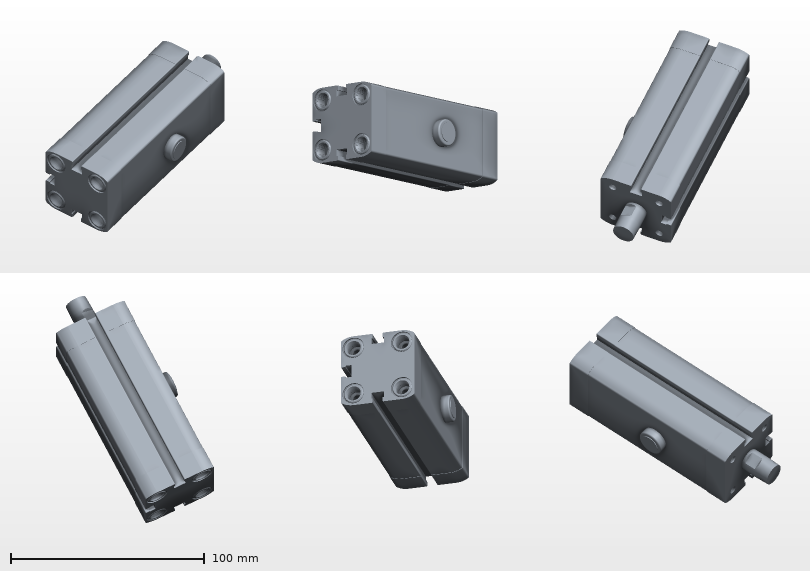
import cadquery as cq
import math

total_length = 118.9
housing_length = 102.5

cap_width = 39.5
cap_length = 12.0
tube_inset = 0.2
bolt_spacing = 26.0
shoulder_radius = 11.4
corner_fillet = 1.2

slot_mouth_width = 5.4
slot_inner_width = 6.8
slot_lip_depth = 2.5
slot_depth = 5.7
slot_edge_radius = 0.5

seat_diameter = 11.7
seat_groove_depth = 0.8
head_diameter = 10.5
head_chamfer = 0.5
thread_major_diameter = 8.0
thread_minor_diameter = 7.5
thread_pitch = 0.8
thread_turns = 8
bolt_hole_diameter = 4.2
bolt_hole_rim_diameter = 4.9

rod_diameter = 12.0
rod_tip_diameter = 11.5
rod_tip_length = 7.3
rod_seat_depth = cap_length
flat_distance = 5.0
flat_tilt = 25.0
flat_length = 6.1
flat_gap = 1.8
flat_inner_ramp = 0.7
flat_outer_ramp = 1.2

fitting_diameter = 14.0
fitting_projection = 4.8
fitting_seat_depth = 1.2
fitting_edge_radius = 0.8
fitting_button_diameter = 10.1
fitting_button_height = 0.4
fitting_y = 56.5

half_width = cap_width / 2
bolt_offset = bolt_spacing / 2
rod_radius = rod_diameter / 2
tube_face_x = half_width - tube_inset
axis_start = (0, 0, 0)
axis_end = (0, 1, 0)


def turned_about_y(points):
    """Solid of revolution about the Y axis from (radius, y) points."""
    return cq.Workplane("XY").polyline(points).close().revolve(360, axis_start, axis_end)


def rounded_bar(half, radius, start, length):
    """Square bar along Y whose top and bottom curve down towards the sides."""
    run = half - bolt_offset
    half_angle = math.asin(run / radius) / 2
    side_z = half - radius + math.sqrt(radius**2 - run**2)
    mid_x = bolt_offset + radius * math.sin(half_angle)
    mid_z = half - radius + radius * math.cos(half_angle)
    return (
        cq.Workplane("XZ", origin=(0, start, 0))
        .moveTo(-bolt_offset, half)
        .lineTo(bolt_offset, half)
        .threePointArc((mid_x, mid_z), (half, side_z))
        .lineTo(half, -side_z)
        .threePointArc((mid_x, -mid_z), (bolt_offset, -half))
        .lineTo(-bolt_offset, -half)
        .threePointArc((-mid_x, -mid_z), (-half, -side_z))
        .lineTo(-half, side_z)
        .threePointArc((-mid_x, mid_z), (-bolt_offset, half))
        .close()
        .extrude(-length)
        .edges("(<X or >X) and |Y")
        .fillet(corner_fillet)
    )


def slot_cutter(half, start, length):
    """T-slot for the top face, with rounded edges at its mouth."""
    mouth = slot_mouth_width / 2
    inner = slot_inner_width / 2
    lip_z = half_width - slot_lip_depth
    floor_z = half_width - slot_depth
    edge_x = mouth + slot_edge_radius
    edge_z = half - slot_edge_radius
    return (
        cq.Workplane("XZ", origin=(0, start, 0))
        .moveTo(-edge_x, half)
        .radiusArc((-mouth, edge_z), slot_edge_radius)
        .lineTo(-mouth, lip_z)
        .lineTo(-inner, lip_z)
        .lineTo(-inner, floor_z)
        .lineTo(inner, floor_z)
        .lineTo(inner, lip_z)
        .lineTo(mouth, lip_z)
        .lineTo(mouth, edge_z)
        .radiusArc((edge_x, half), slot_edge_radius)
        .close()
        .extrude(-length)
    )


def housing_section(inset, start, length):
    """One stretch of the housing, with its T-slots."""
    half = half_width - inset
    section = rounded_bar(half, shoulder_radius - inset, start, length)
    slot = slot_cutter(half, start, length)
    for angle in (0, 180, -90):
        section = section.cut(slot.rotate(axis_start, axis_end, angle))
    return section


def seat_groove():
    """Ring groove that leaves a chamfered bolt head standing in the seat."""
    head_radius = head_diameter / 2
    seat_radius = seat_diameter / 2
    return turned_about_y([
        (head_radius - head_chamfer, 0),
        (head_radius, head_chamfer),
        (head_radius, seat_groove_depth),
        (seat_radius, seat_groove_depth),
        (seat_radius, 0),
    ])


def bolt_bore():
    """Socket with thread-like V grooves, opening into a countersunk through hole."""
    major = thread_major_diameter / 2
    minor = thread_minor_diameter / 2
    hole = bolt_hole_diameter / 2
    rim = bolt_hole_rim_diameter / 2
    socket_depth = thread_turns * thread_pitch
    points = [(0, 0)]
    for turn in range(thread_turns):
        points.append((major, turn * thread_pitch))
        points.append((minor, (turn + 0.5) * thread_pitch))
    points += [
        (minor, socket_depth),
        (rim, socket_depth),
        (hole, socket_depth + rim - hole),
        (hole, housing_length),
        (0, housing_length),
    ]
    return turned_about_y(points)


def make_housing():
    tube_length = housing_length - 2 * cap_length
    housing = (
        housing_section(0, 0, cap_length)
        .union(housing_section(tube_inset, cap_length, tube_length))
        .union(housing_section(0, housing_length - cap_length, cap_length))
    )
    groove = seat_groove()
    bore = bolt_bore()
    for x in (-bolt_offset, bolt_offset):
        for z in (-bolt_offset, bolt_offset):
            housing = housing.cut(groove.translate((x, 0, z))).cut(bore.translate((x, 0, z)))
    rod_hole = (
        cq.Workplane("XZ", origin=(0, housing_length, 0))
        .circle(rod_radius)
        .extrude(rod_seat_depth)
    )
    fitting_recess = (
        cq.Workplane("YZ", origin=(tube_face_x, fitting_y, 0))
        .circle(fitting_diameter / 2)
        .extrude(-fitting_seat_depth)
    )
    return housing.cut(rod_hole).cut(fitting_recess)


def make_rod():
    """Rod seated in the front cap, tapering slightly towards its tip."""
    seat_y = housing_length - rod_seat_depth
    rod = turned_about_y([
        (0, seat_y),
        (rod_radius, seat_y),
        (rod_radius, total_length - rod_tip_length),
        (rod_tip_diameter / 2, total_length),
        (0, total_length),
    ])
    flat_start = housing_length + flat_gap
    flat_end = flat_start + flat_length
    notch = (
        cq.Workplane("YZ")
        .moveTo(flat_start - flat_inner_ramp, rod_radius)
        .lineTo(flat_start, flat_distance)
        .lineTo(flat_end, flat_distance)
        .lineTo(flat_end + flat_outer_ramp, rod_radius)
        .close()
        .extrude(rod_radius, both=True)
    )
    for angle in (flat_tilt, flat_tilt + 180):
        rod = rod.cut(notch.rotate(axis_start, axis_end, angle))
    return rod


def make_fitting():
    """Round fitting with a rounded rim and a low button on its end."""
    base_x = tube_face_x - fitting_seat_depth
    rim_x = half_width + fitting_projection - fitting_button_height
    disc = (
        cq.Workplane("YZ", origin=(base_x, fitting_y, 0))
        .circle(fitting_diameter / 2)
        .extrude(rim_x - base_x)
        .faces(">X")
        .edges()
        .fillet(fitting_edge_radius)
    )
    button = (
        cq.Workplane("YZ", origin=(rim_x, fitting_y, 0))
        .circle(fitting_button_diameter / 2)
        .extrude(fitting_button_height)
    )
    return disc.union(button)


housing = make_housing()
rod = make_rod()
fitting = make_fitting()
result = cq.Compound.makeCompound([housing.val(), rod.val(), fitting.val()])